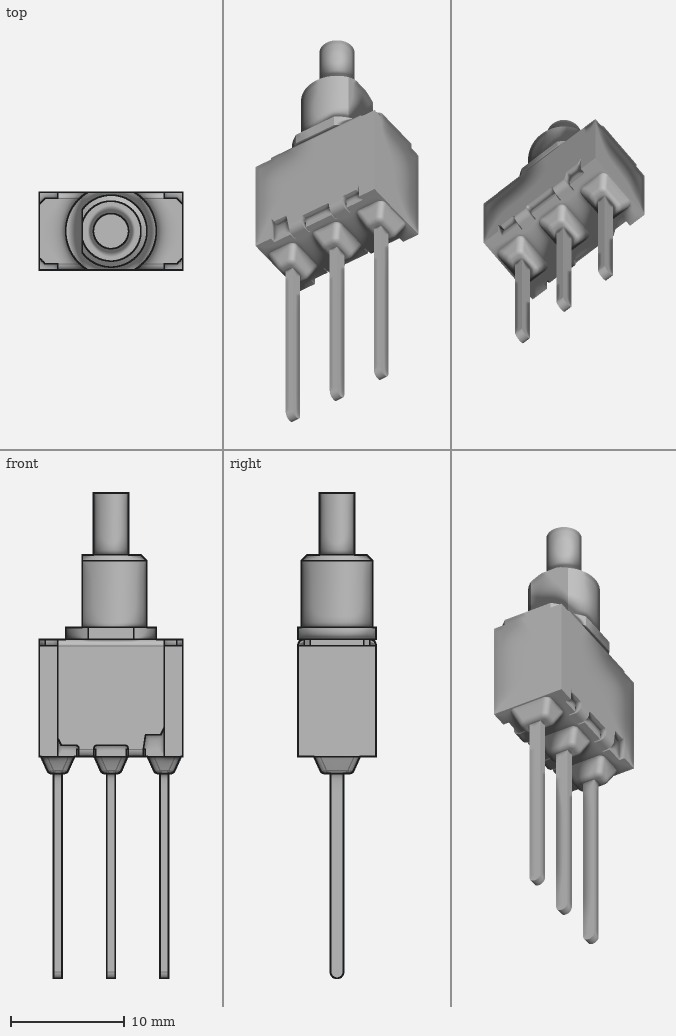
import cadquery as cq

length = 12.7
width = 6.9
height = 42.84

pitch = 4.7
base_height = 9.8
sheet = 0.55
core_width = width - 2 * sheet

tab_inner_x = 1.5
tab_outer_x = 2.85
tab_reach = 1.2
tab_bend = 0.67
pocket_clearance = 0.15

edge_height = 1.0
high_edge_height = 1.93
high_edge_x = 3.05
corner_run = 0.32
corner_rise = 0.63
tab_root_radius = 0.25

pin_thickness = 0.76
pin_width = 1.16
pin_tip_z = -19.56
bead_length = 2.95
bead_width = 4.05
bead_height = 1.5
bead_draft = 24
bead_corner = 0.6
bead_edge = 0.5

plate_top = base_height + sheet
washer_diameter = 8.0
washer_height = 1.05
bushing_diameter = 6.35
bushing_top = 17.8
bushing_chamfer = 0.53
bushing_flat_x = -2.54
plunger_diameter = 3.1
plunger_top = pin_tip_z + height


def box(x_min, x_max, y_min, y_max, z_min, z_max):
    """Axis-aligned box between two corners."""
    return cq.Workplane("XY").box(
        x_max - x_min, y_max - y_min, z_max - z_min, centered=False
    ).translate((x_min, y_min, z_min))


def cylinder(diameter, z_min, z_max):
    """Upright cylinder on the Z axis."""
    return cq.Workplane("XY").workplane(offset=z_min).circle(diameter / 2).extrude(z_max - z_min)


def make_pin(x):
    """Flat terminal with a full-round tip, starting at the underside of the base."""
    radius = pin_width / 2
    return (
        cq.Workplane("YZ", origin=(x - pin_thickness / 2, 0, 0))
        .moveTo(-radius, 0)
        .lineTo(-radius, pin_tip_z + radius)
        .threePointArc((0, pin_tip_z), (radius, pin_tip_z + radius))
        .lineTo(radius, 0)
        .close()
        .extrude(pin_thickness)
    )


def make_bead(x):
    """Tapered bead with rounded corners below the base."""
    bead = (
        cq.Workplane("XY")
        .rect(bead_length, bead_width)
        .extrude(-bead_height, taper=bead_draft)
        .edges("not(#Z)")
        .fillet(bead_corner)
        .faces("<Z")
        .edges()
        .fillet(bead_edge)
    )
    return bead.translate((x, 0, 0))


def make_base():
    """Moulded base with end blocks, tab pockets and three terminals."""
    base = box(-pitch, pitch, -core_width / 2, core_width / 2, 0, base_height)
    for x_min in (-length / 2, pitch):
        base = base.union(box(x_min, x_min + length / 2 - pitch, -width / 2, width / 2, 0, base_height))

    pocket_length = tab_outer_x - tab_inner_x + 2 * pocket_clearance
    pocket_x = (tab_inner_x + tab_outer_x) / 2
    pocket_y = width / 2 - tab_reach / 2
    for x in (-pocket_x, pocket_x):
        for y in (-pocket_y, pocket_y):
            pocket = cq.Workplane("XY").rect(pocket_length, tab_reach).extrude(tab_bend)
            base = base.cut(pocket.translate((x, y, 0)))

    for x in (-pitch, 0, pitch):
        base = base.union(make_bead(x)).union(make_pin(x))
    return base


def make_sheet_side():
    """Sheet side on the -Y face, with its lower outline and two tabs folded under the base."""
    profile = (
        cq.Workplane("YZ", origin=(-pitch, 0, 0))
        .moveTo(-width / 2 + tab_reach, 0)
        .lineTo(-width / 2 + tab_bend, 0)
        .radiusArc((-width / 2, tab_bend), tab_bend)
        .lineTo(-width / 2, plate_top - sheet)
        .radiusArc((-core_width / 2, plate_top), sheet)
        .lineTo(-core_width / 2, sheet)
        .lineTo(-width / 2 + tab_reach, sheet)
        .close()
        .extrude(2 * pitch)
    )
    root = tab_root_radius
    root_z = edge_height - root
    outline = (
        cq.Workplane("XZ")
        .moveTo(-pitch, plate_top)
        .lineTo(-pitch, edge_height + corner_rise)
        .lineTo(-pitch + corner_run, edge_height)
        .lineTo(-tab_outer_x - root, edge_height)
        .radiusArc((-tab_outer_x, root_z), root)
        .lineTo(-tab_outer_x, 0)
        .lineTo(-tab_inner_x, 0)
        .lineTo(-tab_inner_x, root_z)
        .radiusArc((-tab_inner_x + root, edge_height), root)
        .lineTo(tab_inner_x - root, edge_height)
        .radiusArc((tab_inner_x, root_z), root)
        .lineTo(tab_inner_x, 0)
        .lineTo(tab_outer_x, 0)
        .lineTo(tab_outer_x, tab_bend)
        .lineTo(high_edge_x, high_edge_height)
        .lineTo(pitch - corner_run, high_edge_height)
        .lineTo(pitch, high_edge_height + corner_rise)
        .lineTo(pitch, plate_top)
        .close()
        .extrude(width / 2)
    )
    return profile.intersect(outline)


def make_cover():
    """Sheet cover carrying the bushing, its washer-shaped collar and the plunger."""
    plate = box(-length / 2, length / 2, -core_width / 2, core_width / 2, base_height, plate_top)
    plate = plate.edges("|Z").chamfer(sheet)
    side = make_sheet_side()

    washer_top = plate_top + washer_height
    washer = cylinder(washer_diameter, plate_top, washer_top).intersect(
        box(-washer_diameter, washer_diameter, -width / 2, width / 2, plate_top, washer_top)
    )

    bushing = cylinder(bushing_diameter, washer_top, bushing_top).faces(">Z").chamfer(bushing_chamfer)
    flat = box(-bushing_diameter, bushing_flat_x, -bushing_diameter, bushing_diameter,
               washer_top, bushing_top)
    plunger = cylinder(plunger_diameter, bushing_top, plunger_top)

    cover = plate.union(side).union(side.mirror("XZ"))
    return cover.union(washer).union(bushing.cut(flat)).union(plunger)


base = make_base()
cover = make_cover()
result = cq.Compound.makeCompound([base.solids().val(), cover.solids().val()])